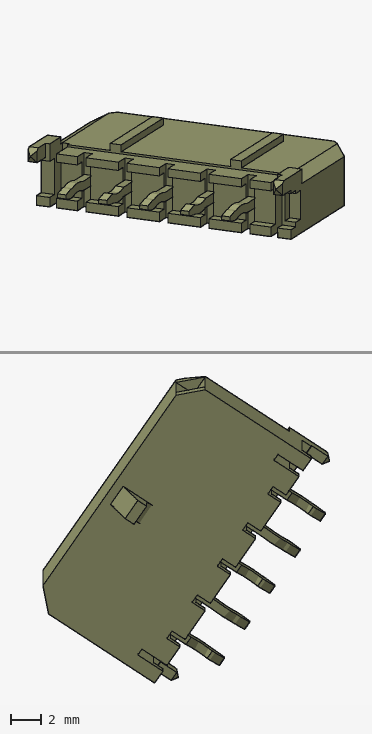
import cadquery as cq
import math


width = 18.64
half_width = width / 2
housing_height = 3.91
rear_y = -9.92
corner_cut = 1.4
side_bevel_width = 0.97
side_bevel_drop = 0.5
notch_bottom = 0.75
notch_top = 3.25

step_y = -8.15
step_z = 3.77
recess_y = -9.17
recess_bottom = 0.67
recess_top = 3.19
ear_width = 0.99
ear_gap = 0.48
ear_gap_end_y = -7.9
side_pocket_width = 0.78
side_pocket_bottom = 0.99
side_pocket_top = 2.98
side_pocket_depth = 0.75

top_z = 4.4
peg_width = 0.67
peg_bottom = 3.41
peg_shoulder_y = -11.24
peg_top_slope_y = -11.07
peg_tip_y = -11.61
rail_width = 0.8
rail_centres = (-4.32, 4.47)

hook_width = 1.51
hook_drop = 1.17
hook_start_y = -0.6
hook_rear_y = -2.48
hook_root_radius = 0.47

pin_count = 5
pin_pitch = 3.0
pin_width = 0.62
pin_thickness = 0.65
pin_centre_z = 1.92
slot_floor_y = -8.87
bow_start_y = -10.4
bow_end_y = -12.1
bow_outer_rise = 0.13
bow_inner_rise = 0.17
taper_start_y = -12.34
pin_tip_y = -13.09
pin_tip_thickness = 0.28


def block(x_min, x_max, y_min, y_max, z_min, z_max):
    """Box given by its limits along each axis."""
    size = (x_max - x_min, y_max - y_min, z_max - z_min)
    return cq.Workplane("XY").box(*size, centered=False).translate((x_min, y_min, z_min))


def side_profile(x_min):
    """Sketch plane at x_min: local axes are Y and Z, extrusion runs toward +X."""
    return cq.Workplane("YZ", origin=(x_min, 0, 0))


def both_sides(shape):
    """The shape together with its mirror image across X = 0."""
    return shape.union(shape.mirror("YZ"))


def housing_shell():
    """Housing with cut mating corners, bevelled top sides and open corner notches."""
    body = (
        cq.Workplane("XY")
        .polyline([
            (-half_width, rear_y),
            (half_width, rear_y),
            (half_width, -corner_cut),
            (half_width - corner_cut, 0),
            (-half_width + corner_cut, 0),
            (-half_width, -corner_cut),
        ])
        .close()
        .extrude(housing_height)
    )
    bevel = (
        cq.Workplane("XZ")
        .polyline([
            (-half_width, housing_height),
            (-half_width, housing_height - side_bevel_drop),
            (-half_width + side_bevel_width, housing_height),
        ])
        .close()
        .extrude(-step_y)
    )
    notch = block(-half_width, -half_width + corner_cut, -corner_cut, 0, notch_bottom, notch_top)
    return body.cut(both_sides(bevel)).cut(both_sides(notch))


def rear_cuts():
    """Step, recess, ear gaps, pin slots and side pocket at the rear of the housing."""
    ear_inner = half_width - ear_width
    cuts = block(-ear_inner, ear_inner, rear_y, step_y, step_z, housing_height)
    recess = block(-half_width, half_width, rear_y, recess_y, recess_bottom, recess_top)
    gap = block(-ear_inner, -ear_inner + ear_gap, rear_y, ear_gap_end_y, 0, housing_height)
    pocket = block(
        half_width - side_pocket_width, half_width,
        recess_y, recess_y + side_pocket_depth,
        side_pocket_bottom, side_pocket_top,
    )
    cuts = cuts.union(recess).union(both_sides(gap)).union(pocket)
    for x in pin_positions:
        cuts = cuts.union(
            block(x - pin_width / 2, x + pin_width / 2, rear_y, slot_floor_y, 0, housing_height)
        )
    return cuts


def ear():
    """Left ear block on the housing with its pointed locating peg."""
    outer_x = -half_width
    base = block(outer_x, outer_x + ear_width, rear_y, step_y, recess_top, top_z)
    peg_side = (
        side_profile(outer_x)
        .polyline([
            (rear_y, peg_bottom),
            (peg_shoulder_y, peg_bottom),
            (peg_tip_y, (peg_bottom + top_z) / 2),
            (peg_top_slope_y, top_z),
            (rear_y, top_z),
        ])
        .close()
        .extrude(peg_width)
    )
    peg_plan = (
        cq.Workplane("XY")
        .polyline([
            (outer_x, rear_y),
            (outer_x, peg_shoulder_y),
            (outer_x + peg_width / 2, peg_tip_y),
            (outer_x + peg_width, peg_shoulder_y),
            (outer_x + peg_width, rear_y),
        ])
        .close()
        .extrude(top_z)
    )
    return base.union(peg_side.intersect(peg_plan))


def top_rail(x):
    """Straight rail on the top face, from the corner cut back to the rear step."""
    return block(x - rail_width / 2, x + rail_width / 2, step_y, -corner_cut, housing_height, top_z)


def latch_hook():
    """45 degree latch hook with a concave fillet where its rear face meets the housing."""
    arc_offset = hook_root_radius * (1 - math.sqrt(0.5))
    return (
        side_profile(-hook_width / 2)
        .moveTo(hook_start_y, 0)
        .lineTo(hook_start_y - hook_drop, -hook_drop)
        .lineTo(hook_rear_y, -hook_drop)
        .lineTo(hook_rear_y, -hook_root_radius)
        .threePointArc(
            (hook_rear_y - arc_offset, -arc_offset),
            (hook_rear_y - hook_root_radius, 0),
        )
        .close()
        .extrude(hook_width)
    )


def pin(x, bow_direction):
    """Pin with a bowed stretch (bow_direction +1 up, -1 down) and a tapered tip."""
    bow_middle_y = (bow_start_y + bow_end_y) / 2
    half = pin_thickness / 2
    tip_half = pin_tip_thickness / 2
    profile = (
        side_profile(x - pin_width / 2)
        .moveTo(slot_floor_y, half)
        .lineTo(bow_start_y, half)
        .threePointArc((bow_middle_y, half + bow_outer_rise), (bow_end_y, half))
        .lineTo(taper_start_y, half)
        .lineTo(pin_tip_y, tip_half)
        .lineTo(pin_tip_y, -tip_half)
        .lineTo(taper_start_y, -half)
        .lineTo(bow_end_y, -half)
        .threePointArc((bow_middle_y, -half + bow_inner_rise), (bow_start_y, -half))
        .lineTo(slot_floor_y, -half)
        .close()
        .extrude(pin_width)
    )
    if bow_direction < 0:
        profile = profile.mirror("XY")
    return profile.translate((0, 0, pin_centre_z))


pin_positions = [(i - (pin_count - 1) / 2) * pin_pitch for i in range(pin_count)]

result = housing_shell().cut(rear_cuts()).union(both_sides(ear())).union(latch_hook())
for rail_x in rail_centres:
    result = result.union(top_rail(rail_x))
for index, pin_x in enumerate(pin_positions):
    result = result.union(pin(pin_x, 1 if index % 2 == 0 else -1))